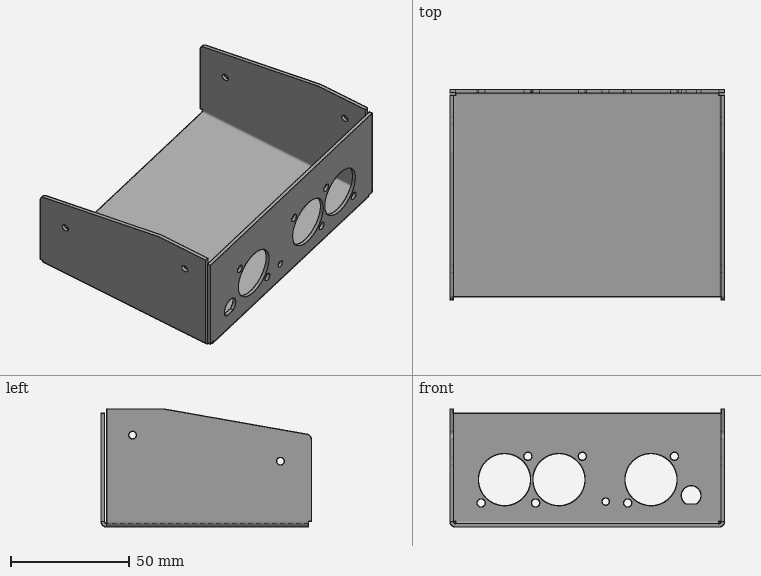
import cadquery as cq
import math

width = 116.4
depth = 89.2
side_height = 50.0
rear_height = 48.3

sheet = 1.5
inner_radius = 0.9
bend = sheet + inner_radius
floor_setback = 1.3

flat_top_length = 26.9
slope_angle = 10.0
front_corner_radius = 2.5
side_hole_diameter = 3.1
side_holes = [(13.4, 39.0), (76.0, 27.9)]

connector_diameter = 22.0
connector_x = [-35.0, -12.0, 27.0]
connector_z = 20.1
screw_diameter = 3.4
screw_offset = 9.9
pin_diameter = 3.0
pin_x = 7.8
pin_z = 10.8
jack_diameter = 8.3
jack_flat = 3.5
jack_x = 44.0
jack_z = 13.4

rear_y = depth / 2
front_y = -depth / 2
floor_front_y = front_y + floor_setback
bend_rear_y = rear_y - bend
bend_x = width / 2 - bend


def bend_profile(plane, tangent):
    """Quarter ring turning a floor that ends at `tangent` upwards, towards the plane's +X."""
    diagonal = math.sqrt(0.5)
    return (
        cq.Workplane(plane)
        .moveTo(tangent, 0)
        .threePointArc((tangent + bend * diagonal, bend - bend * diagonal), (tangent + bend, bend))
        .lineTo(tangent + inner_radius, bend)
        .threePointArc(
            (tangent + inner_radius * diagonal, bend - inner_radius * diagonal), (tangent, sheet)
        )
        .close()
    )


def floor():
    length = bend_rear_y - floor_front_y
    return cq.Workplane("XY").box(2 * bend_x, length, sheet, centered=(True, False, False)).translate(
        (0, floor_front_y, 0)
    )


def side_wall():
    """Right-hand wall with its bend; the wall has a sloping top edge."""
    slope_start_y = rear_y - flat_top_length
    slope_drop = (slope_start_y - front_y) * math.tan(math.radians(slope_angle))
    front_top_z = side_height - slope_drop
    outline = [
        (front_y, bend),
        (bend_rear_y, bend),
        (bend_rear_y, side_height),
        (slope_start_y, side_height),
        (front_y, front_top_z),
    ]
    wall = (
        cq.Workplane("YZ", origin=(width / 2 - sheet, 0, 0))
        .polyline(outline)
        .close()
        .extrude(sheet)
        .edges(cq.selectors.NearestToPointSelector((width / 2 - sheet / 2, front_y, front_top_z)))
        .fillet(front_corner_radius)
    )
    holes = (
        cq.Workplane("YZ")
        .pushPoints([(rear_y - distance, height) for distance, height in side_holes])
        .circle(side_hole_diameter / 2)
        .extrude(width)
    )
    corner = bend_profile(cq.Plane.XZ(origin=(0, bend_rear_y, 0)), bend_x).extrude(
        bend_rear_y - floor_front_y
    )
    return wall.cut(holes).union(corner)


def rear_cutters():
    """Cylinders along Y through the rear panel."""
    centres = [(x, connector_z) for x in connector_x]
    screws = [
        (x + sign * screw_offset, z + sign * screw_offset) for x, z in centres for sign in (-1, 1)
    ]
    plane = cq.Workplane("XZ", origin=(0, rear_y, 0))
    cutters = plane.pushPoints(centres).circle(connector_diameter / 2).extrude(bend)
    cutters = cutters.union(plane.pushPoints(screws).circle(screw_diameter / 2).extrude(bend))
    cutters = cutters.union(plane.center(pin_x, pin_z).circle(pin_diameter / 2).extrude(bend))
    half_flat = math.sqrt((jack_diameter / 2) ** 2 - jack_flat**2)
    jack = (
        cq.Workplane("XZ", origin=(jack_x, rear_y, jack_z))
        .moveTo(-half_flat, -jack_flat)
        .threePointArc((0, jack_diameter / 2), (half_flat, -jack_flat))
        .close()
        .extrude(bend)
    )
    return cutters.union(jack)


def rear_panel():
    """Full-width rear panel; its bend stops at the side bends to leave open corners."""
    panel = cq.Workplane("XY").box(width, sheet, rear_height - bend, centered=(True, False, False))
    panel = panel.translate((0, rear_y - sheet, bend))
    corner = bend_profile(cq.Plane.YZ(origin=(-bend_x, 0, 0)), bend_rear_y).extrude(2 * bend_x)
    return panel.cut(rear_cutters()).union(corner)


right_wall = side_wall()
left_wall = right_wall.mirror("YZ")
result = floor().union(right_wall).union(left_wall).union(rear_panel())